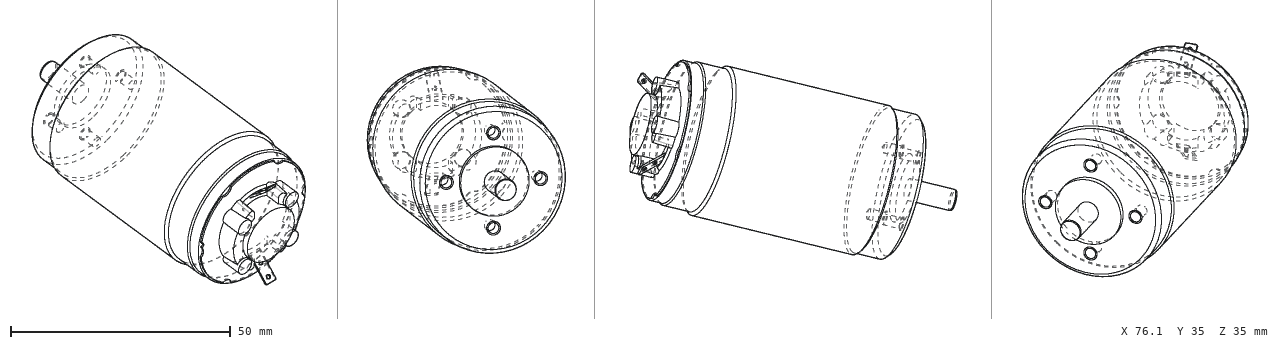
import cadquery as cq
import math


overall_length = 76.07
shaft_length = 12.5
shaft_radius = 2.5
shaft_chamfer_length = 0.35
shaft_chamfer_depth = 0.12
pilot_length = 1.4
pilot_radius = 8.0

flange_radius = 17.0
flange_chamfer_length = 1.0
flange_chamfer_depth = 1.05
flange_end = 7.15
body_radius = 17.5
body_start = 7.6
body_end = 46.5
rear_radius = 16.8
body_chamfer_length = 0.65
rear_end = 53.6
cap_radius = 16.4
cap_end = 56.85
cover_radius = 15.95
cover_end = 57.27

hole_count = 4
hole_circle_radius = 11.0
hole_radius = 1.25
counterbore_radius = 1.6
counterbore_depth = 0.1
hole_depth = 4.0
drill_point_angle = 118.0

scallop_count = 6
scallop_radius = 2.0
scallop_center_offset = 1.2
key_scallop_radius = 0.75
key_scallop_z = 2.05

hub_radius = 7.2
hub_end = 63.3
base_radius = 9.9
base_top_radius = 9.3
base_height = 0.6
wall_base_radius = 10.4
wall_top_radius = 10.05
wall_end = 61.8
wall_gap = 7.4
wall_end_rounding = 0.9
peg_y = 7.15
peg_z = 5.95
peg_radius = 2.0
peg_end = 62.5

terminal_width = 3.0
terminal_thickness = 0.5
terminal_angle = 45.0
terminal_tip_z = 14.35
terminal_root_length = 9.1
terminal_hole_radius = 0.5
terminal_hole_setbacks = (1.4, 5.05)
terminal_tip_chamfer = 0.25


def disc(start, end, radius):
    """Cylinder about the X axis between two stations."""
    return cq.Workplane("YZ", origin=(start, 0, 0)).circle(radius).extrude(end - start)


def cone(start, end, start_radius, end_radius):
    """Truncated cone about the X axis between two stations."""
    return cq.Workplane("XY").add(
        cq.Solid.makeCone(
            start_radius, end_radius, end - start, cq.Vector(start, 0, 0), cq.Vector(1, 0, 0)
        )
    )


def make_housing():
    """Shaft, pilot, flange, body and rear cap turned from one half profile."""
    profile = [
        (-shaft_length, 0),
        (-shaft_length, shaft_radius - shaft_chamfer_depth),
        (-shaft_length + shaft_chamfer_length, shaft_radius),
        (-pilot_length, shaft_radius),
        (-pilot_length, pilot_radius),
        (0, pilot_radius),
        (0, flange_radius - flange_chamfer_depth),
        (flange_chamfer_length, flange_radius),
        (flange_end, flange_radius),
        (body_start, body_radius),
        (body_end, body_radius),
        (body_end + body_chamfer_length, rear_radius),
        (rear_end, rear_radius),
        (rear_end + rear_radius - cap_radius, cap_radius),
        (cap_end, cap_radius),
        (cap_end, 0),
    ]
    return cq.Workplane("XY").polyline(profile).close().revolve(360, (0, 0, 0), (1, 0, 0))


def make_mounting_holes():
    """Blind holes with a shallow counterbore and a drill point, to be cut from the flange."""
    point_depth = hole_radius / math.tan(math.radians(drill_point_angle / 2))
    profile = [
        (0, 0),
        (0, counterbore_radius),
        (counterbore_depth, counterbore_radius),
        (counterbore_depth, hole_radius),
        (hole_depth, hole_radius),
        (hole_depth + point_depth, 0),
    ]
    hole = cq.Workplane("XY").polyline(profile).close().revolve(360, (0, 0, 0), (1, 0, 0))
    first_hole = hole.translate((0, 0, hole_circle_radius))
    holes = cq.Workplane("XY")
    for index in range(hole_count):
        angle = index * 360 / hole_count
        holes = holes.add(first_hole.rotate((0, 0, 0), (1, 0, 0), angle))
    return holes.combine()


def make_cover():
    """Thin end cover with scallops around its rim and one small key scallop."""
    key_y = -math.sqrt(cover_radius**2 - key_scallop_z**2)
    scallops = (
        cq.Workplane("YZ", origin=(cap_end, 0, 0))
        .polarArray(cover_radius + scallop_center_offset, 0, 360, scallop_count)
        .circle(scallop_radius)
        .extrude(cover_end - cap_end)
    )
    key_scallop = (
        cq.Workplane("YZ", origin=(cap_end, key_y, key_scallop_z))
        .circle(key_scallop_radius)
        .extrude(cover_end - cap_end)
    )
    return disc(cap_end, cover_end, cover_radius).cut(scallops).cut(key_scallop)


def make_wall(side):
    """Tapered wall beside the hub; side is +1 for +Y and -1 for -Y."""
    length = wall_end - cover_end
    half_space = cq.Workplane("XY").box(
        length, wall_base_radius, 2 * wall_base_radius, centered=(False, False, True)
    ).translate((cover_end, wall_gap / 2, 0))
    wall = cone(cover_end, wall_end, wall_base_radius, wall_top_radius).intersect(half_space)
    corners = cq.selectors.BoxSelector(
        (cover_end + length / 4, wall_gap / 4, -wall_base_radius),
        (wall_end - length / 4, wall_gap, wall_base_radius),
    )
    wall = wall.edges(corners).fillet(wall_end_rounding)
    return wall if side > 0 else wall.mirror("XZ")


def make_brush_holder():
    """Hub on a conical base, with two side walls and four pegs."""
    holder = disc(cover_end, hub_end, hub_radius)
    holder = holder.union(cone(cover_end, cover_end + base_height, base_radius, base_top_radius))
    for side in (1, -1):
        holder = holder.union(make_wall(side))
    pegs = (
        cq.Workplane("YZ", origin=(cover_end, 0, 0))
        .rect(2 * peg_y, 2 * peg_z, forConstruction=True)
        .vertices()
        .circle(peg_radius)
        .extrude(peg_end - cover_end)
    )
    return holder.union(pegs)


def make_terminal():
    """Slanted flat terminal on the +Z side, pierced by two holes, root buried in the base."""
    corner_reach = terminal_thickness / 2 * math.sin(math.radians(terminal_angle))
    tip_x = overall_length - shaft_length - corner_reach
    blade = cq.Workplane("XY").box(
        terminal_root_length, terminal_width, terminal_thickness
    ).translate((-terminal_root_length / 2, 0, 0))
    blade = blade.edges("|Z and >X").chamfer(terminal_tip_chamfer)
    hole_points = [(-setback, 0) for setback in terminal_hole_setbacks]
    holes = (
        cq.Workplane("XY")
        .pushPoints(hole_points)
        .circle(terminal_hole_radius)
        .extrude(terminal_thickness, both=True)
    )
    return (
        blade.cut(holes)
        .rotate((0, 0, 0), (0, 1, 0), -terminal_angle)
        .translate((tip_x, 0, terminal_tip_z))
    )


upper_terminal = make_terminal()
lower_terminal = upper_terminal.mirror("XY")

result = (
    make_housing()
    .cut(make_mounting_holes())
    .union(make_cover())
    .union(make_brush_holder())
    .union(upper_terminal)
    .union(lower_terminal)
)